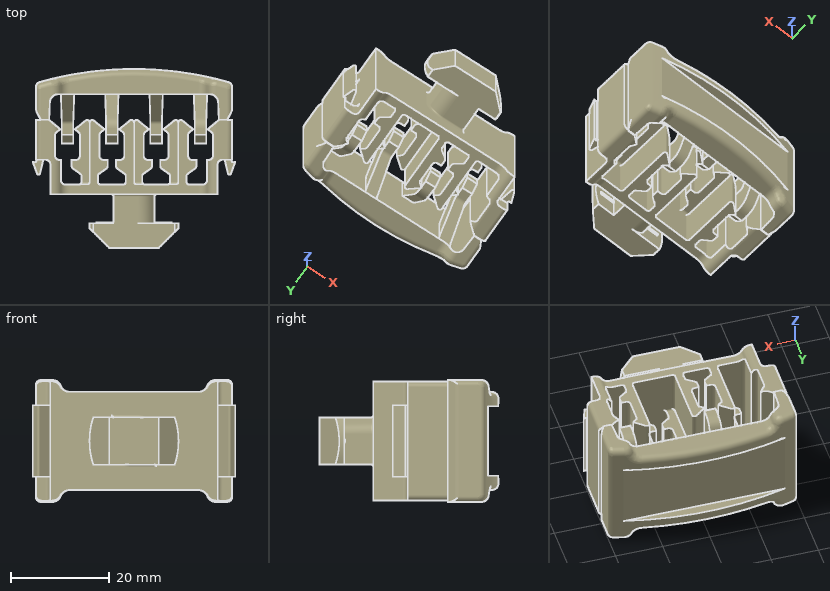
import cadquery as cq
import math

CENTER_HALF_HEIGHT = 10.0
JOINT_Y = 15.1
HALF_WIDTH = 19.95
EAR_FLAT_X = 16.65
EAR_FOOT_X = 13.1
PICK_MARGIN = 0.05
CELL_PITCH = 9.0
CELL_COUNT = 4

HOUSING_EAR_HALF_HEIGHT = 12.1
WALL_THICKNESS = 2.0
WALL_HALF_WIDTH = 17.0
SHOULDER_Y = 7.0
SHOULDER_FILLET = 1.0
ARM_EDGE_FILLET = 1.1
ARM_TOP_INNER_X = 17.2
ARM_NECK_X = 14.8
CHAMBER_HALF_WIDTH = 2.5
CHAMBER_TOP_Y = 12.4
LIP_HALF_GAP = 1.45
LIP_Y = 13.2
CELL_CORNER_FILLET = 0.8
FINGER_TOP_OFFSET = 3.8
FINGER_TIP_FILLET = 0.5
NUB_HALF_GAP = 0.8
NUB_LOW_Y = 5.4
POCKET_HALF_WIDTH = 2.8
POCKET_TOP_Y = 4.0
FINGER_OVERLAP = 0.25
FINGER_ROOT_FILLET = 0.5

LATCH_HALF_HEIGHT = 7.3
LATCH_BARB = (20.6, 6.6)
LATCH_NOTCH = (20.0, 6.5)
LATCH_OUTER_ROOT_X = 19.7
LATCH_INNER_ROOT_X = 18.4
LATCH_TIP_Y = 4.0
LATCH_TIP_OUTER_X = 19.65
LATCH_TIP_INNER_X = 19.1
LATCH_TIP_FILLET = 0.27

FOOT_HALF_HEIGHT = 4.8
NECK_HALF_WIDTH = 4.17
NECK_CORNER_RADIUS = 3.3
NECK_ROOT_FILLET = 0.45
FOOT_TOP_Y = -5.85
FOOT_SHOULDER_Y = -6.9
FOOT_END_Y = -10.93
FOOT_HALF_LENGTH = 9.05
FOOT_END_HALF_LENGTH = 5.0
FOOT_END_RADIUS = 15.2
RIDGE_RADIUS = 0.4
RIDGE_HEIGHT = 0.2
RIDGE_OUTER_X = 7.7

COVER_EAR_HALF_HEIGHT = 12.41
COVER_TOP_Y = 25.48
COVER_OUTER_RADIUS = 70.0
COVER_RIM_FILLET = 1.45
COVER_END_FILLET = 1.1
COVER_INNER_Y = 20.3
COVER_INNER_X = 17.0
COVER_INNER_FILLET = 1.7
COVER_TAPER_Y = 17.0
COVER_TAPER_X = 18.95
COVER_TAPER_FILLET = 1.9
RECESS_FLOOR_Y = 23.37
RECESS_HALF_HEIGHT = 7.04

PRONG_ROOT_WIDTH = 2.75
PRONG_TIP_WIDTH = 2.4
PRONG_NARROW_Y = 14.8
PRONG_SLOPE = math.atan(2.0)
PRONG_HEEL_RADIUS = 3.5
PRONG_CREST_RADIUS = 3.1
PRONG_INNER_RADIUS = 1.0
PRONG_ROOT_TOP_Z = -1.6
PRONG_CREST_Y = 13.5
PRONG_INNER_END_Y = 14.2
PRONG_WEDGE_Y = 12.1
PRONG_TIP_Y = 10.3
PRONG_WEDGE_DROP = 1.9

CELL_CENTERS = [(i - (CELL_COUNT - 1) / 2) * CELL_PITCH for i in range(CELL_COUNT)]


def mirror_path(points):
    """Closed outline from a right-hand path and its mirror image in X."""
    return points + [(-x, y) for x, y in reversed(points)]


def round_z_edges(body, points, radius):
    """Fillet the edges along Z that stand at the given (x, y) points."""
    for x, y in points:
        corner = cq.selectors.BoxSelector(
            (x - PICK_MARGIN, y - PICK_MARGIN, -COVER_EAR_HALF_HEIGHT),
            (x + PICK_MARGIN, y + PICK_MARGIN, COVER_EAR_HALF_HEIGHT),
        )
        body = body.edges("|Z").edges(corner).fillet(radius)
    return body


def ear_envelope(ear_half_height, y_start, y_end):
    """Block whose XZ outline rises in S-curves from the center part to an ear at each end."""
    rise = ear_half_height - CENTER_HALF_HEIGHT
    run = EAR_FLAT_X - EAR_FOOT_X
    radius = (run ** 2 + rise ** 2) / (4 * rise)
    half_turn = math.atan(rise / run)
    dx = radius * math.sin(half_turn)
    dz = radius * (1 - math.cos(half_turn))
    mid_x = (EAR_FLAT_X + EAR_FOOT_X) / 2
    mid_z = (ear_half_height + CENTER_HALF_HEIGHT) / 2

    quarter = (
        cq.Workplane("XZ", origin=(0, y_end, 0))
        .moveTo(0, 0)
        .lineTo(0, CENTER_HALF_HEIGHT)
        .lineTo(EAR_FOOT_X, CENTER_HALF_HEIGHT)
        .threePointArc((EAR_FOOT_X + dx, CENTER_HALF_HEIGHT + dz), (mid_x, mid_z))
        .threePointArc((EAR_FLAT_X - dx, ear_half_height - dz), (EAR_FLAT_X, ear_half_height))
        .lineTo(HALF_WIDTH, ear_half_height)
        .lineTo(HALF_WIDTH, 0)
        .close()
        .extrude(y_end - y_start)
    )
    half = quarter.union(quarter.mirror("YZ"))
    return half.union(half.mirror("XY")).clean()


def frame():
    """Base wall with an arm at each end."""
    outer_cell = CELL_CENTERS[-1]
    chamber_x = outer_cell + CHAMBER_HALF_WIDTH
    lip_x = outer_cell + LIP_HALF_GAP
    path = [
        (WALL_HALF_WIDTH, 0),
        (WALL_HALF_WIDTH, SHOULDER_Y),
        (HALF_WIDTH, SHOULDER_Y),
        (HALF_WIDTH, JOINT_Y),
        (ARM_TOP_INNER_X, JOINT_Y),
        (lip_x, LIP_Y),
        (chamber_x, CHAMBER_TOP_Y),
        (chamber_x, SHOULDER_Y),
        (ARM_NECK_X, SHOULDER_Y),
        (ARM_NECK_X, WALL_THICKNESS),
    ]
    body = (
        cq.Workplane("XY", origin=(0, 0, -HOUSING_EAR_HALF_HEIGHT))
        .polyline(mirror_path(path))
        .close()
        .extrude(2 * HOUSING_EAR_HALF_HEIGHT)
    )
    for side in (-1, 1):
        shoulder = [(side * WALL_HALF_WIDTH, SHOULDER_Y)]
        inner_corners = [
            (side * chamber_x, CHAMBER_TOP_Y),
            (side * chamber_x, SHOULDER_Y),
            (side * ARM_NECK_X, WALL_THICKNESS),
        ]
        body = round_z_edges(body, shoulder, SHOULDER_FILLET)
        body = round_z_edges(body, inner_corners, CELL_CORNER_FILLET)
    body = body.intersect(ear_envelope(HOUSING_EAR_HALF_HEIGHT, 0, JOINT_Y))
    return body.faces("<X or >X").edges("|Y").fillet(ARM_EDGE_FILLET)


def finger():
    """Finger on the right of a cell centered on X = 0, standing in the upper half."""
    outline = [
        (CELL_PITCH / 2, WALL_THICKNESS / 2),
        (CELL_PITCH / 2, JOINT_Y),
        (FINGER_TOP_OFFSET, JOINT_Y),
        (LIP_HALF_GAP, LIP_Y),
        (CHAMBER_HALF_WIDTH, CHAMBER_TOP_Y),
        (CHAMBER_HALF_WIDTH, SHOULDER_Y),
        (NUB_HALF_GAP, SHOULDER_Y),
        (NUB_HALF_GAP, NUB_LOW_Y),
        (POCKET_HALF_WIDTH, POCKET_TOP_Y),
        (POCKET_HALF_WIDTH, WALL_THICKNESS / 2),
    ]
    body = (
        cq.Workplane("XY", origin=(0, 0, -FINGER_OVERLAP))
        .polyline(outline)
        .close()
        .extrude(CENTER_HALF_HEIGHT + FINGER_OVERLAP)
    )
    cell_corners = [
        (CHAMBER_HALF_WIDTH, CHAMBER_TOP_Y),
        (CHAMBER_HALF_WIDTH, SHOULDER_Y),
        (NUB_HALF_GAP, NUB_LOW_Y),
    ]
    tip_corners = [
        (CELL_PITCH / 2, JOINT_Y),
        (FINGER_TOP_OFFSET, JOINT_Y),
        (POCKET_HALF_WIDTH, POCKET_TOP_Y),
    ]
    body = round_z_edges(body, cell_corners, CELL_CORNER_FILLET)
    return round_z_edges(body, tip_corners, FINGER_TIP_FILLET)


def add_fingers(body):
    """Finger pairs, in the lower half of odd cells and the upper half of even ones."""
    right = finger()
    left = right.mirror("YZ")
    for index, center in enumerate(CELL_CENTERS):
        in_upper_half = index % 2 == 1
        sides = []
        if index > 0:
            sides.append(left)
        if index < CELL_COUNT - 1:
            sides.append(right)
        for side in sides:
            placed = side if in_upper_half else side.mirror("XY")
            body = body.union(placed.translate((center, 0, 0)))
    return body


def round_finger_roots(body):
    """Fillet where the fingers meet the inner face of the base wall."""
    limit_x = ARM_NECK_X - CELL_CORNER_FILLET - PICK_MARGIN
    limit_z = CENTER_HALF_HEIGHT - PICK_MARGIN
    root = cq.selectors.BoxSelector(
        (-limit_x, WALL_THICKNESS - PICK_MARGIN, -limit_z),
        (limit_x, WALL_THICKNESS + PICK_MARGIN, limit_z),
    )
    return body.edges(root).fillet(FINGER_ROOT_FILLET)


def add_latch(body, side):
    """Barbed latch under an arm, with the gap behind it cut up into the arm."""
    lean = (LATCH_TIP_INNER_X - LATCH_INNER_ROOT_X) / (SHOULDER_Y - LATCH_TIP_Y)
    gap_top_y = SHOULDER_Y + (LATCH_INNER_ROOT_X - WALL_HALF_WIDTH) / lean
    start = cq.Workplane("XY", origin=(0, 0, -LATCH_HALF_HEIGHT))
    gap = (
        start.polyline([
            (side * WALL_HALF_WIDTH, SHOULDER_Y - SHOULDER_FILLET),
            (side * WALL_HALF_WIDTH, gap_top_y),
            (side * LATCH_INNER_ROOT_X, SHOULDER_Y),
            (side * LATCH_INNER_ROOT_X, SHOULDER_Y - SHOULDER_FILLET),
        ])
        .close()
        .extrude(2 * LATCH_HALF_HEIGHT)
    )
    outline = [
        LATCH_BARB,
        LATCH_NOTCH,
        (LATCH_OUTER_ROOT_X, SHOULDER_Y),
        (LATCH_INNER_ROOT_X, SHOULDER_Y),
        (LATCH_TIP_INNER_X, LATCH_TIP_Y),
        (LATCH_TIP_OUTER_X, LATCH_TIP_Y),
    ]
    latch = (
        start.polyline([(side * x, y) for x, y in outline])
        .close()
        .extrude(2 * LATCH_HALF_HEIGHT)
    )
    tip = [(side * LATCH_TIP_INNER_X, LATCH_TIP_Y), (side * LATCH_TIP_OUTER_X, LATCH_TIP_Y)]
    latch = round_z_edges(latch, tip, LATCH_TIP_FILLET)
    return body.cut(gap).union(latch)


def neck():
    """Neck of the foot, rounded at two opposite corners."""
    block = cq.Workplane("XY").box(2 * NECK_HALF_WIDTH, -FOOT_TOP_Y, 2 * FOOT_HALF_HEIGHT)
    block = block.translate((0, FOOT_TOP_Y / 2, 0))
    for side in (-1, 1):
        corner = (side * NECK_HALF_WIDTH, FOOT_TOP_Y / 2, side * FOOT_HALF_HEIGHT)
        corner_edge = cq.selectors.NearestToPointSelector(corner)
        block = block.edges(corner_edge).fillet(NECK_CORNER_RADIUS)
    return block


def foot_plate():
    """Tapered crosspiece of the foot with arched ends and a detent ridge on each wing."""
    path = [
        (FOOT_HALF_LENGTH, FOOT_TOP_Y),
        (FOOT_HALF_LENGTH, FOOT_SHOULDER_Y),
        (FOOT_END_HALF_LENGTH, FOOT_END_Y),
    ]
    plate = (
        cq.Workplane("XY", origin=(0, 0, -FOOT_HALF_HEIGHT))
        .polyline(mirror_path(path))
        .close()
        .extrude(2 * FOOT_HALF_HEIGHT)
    )
    arch_center = FOOT_HALF_LENGTH - FOOT_END_RADIUS
    for side in (-1, 1):
        arch = (
            cq.Workplane("XZ")
            .center(side * arch_center, 0)
            .circle(FOOT_END_RADIUS)
            .extrude(-FOOT_END_Y)
        )
        plate = plate.intersect(arch)
    ridges = (
        cq.Workplane("YZ", origin=(-RIDGE_OUTER_X, 0, 0))
        .center(FOOT_TOP_Y + RIDGE_HEIGHT - RIDGE_RADIUS, 0)
        .circle(RIDGE_RADIUS)
        .extrude(2 * RIDGE_OUTER_X)
    )
    return plate.union(ridges)


def add_foot(body):
    """Neck and crosspiece, with a fillet where the neck leaves the base wall."""
    body = body.union(neck())
    reach = FOOT_HALF_HEIGHT + PICK_MARGIN
    root = cq.selectors.BoxSelector((-reach, -PICK_MARGIN, -reach), (reach, PICK_MARGIN, reach))
    body = body.edges(root).fillet(NECK_ROOT_FILLET)
    return body.union(foot_plate())


def make_housing():
    body = add_fingers(frame())
    body = round_finger_roots(body)
    for side in (-1, 1):
        body = add_latch(body, side)
    return add_foot(body)


def cover_shell():
    """Curved cover wall with two arms, eared like the housing."""
    edge_drop = COVER_OUTER_RADIUS - math.sqrt(COVER_OUTER_RADIUS ** 2 - HALF_WIDTH ** 2)
    corner_y = COVER_TOP_Y - edge_drop
    path = [
        (HALF_WIDTH, corner_y),
        (HALF_WIDTH, JOINT_Y),
        (ARM_TOP_INNER_X, JOINT_Y),
        (COVER_INNER_X, COVER_INNER_Y),
    ]
    body = (
        cq.Workplane("XY", origin=(0, 0, -COVER_EAR_HALF_HEIGHT))
        .polyline(mirror_path(path))
        .threePointArc((0, COVER_TOP_Y), path[0])
        .close()
        .extrude(2 * COVER_EAR_HALF_HEIGHT)
    )
    for side in (-1, 1):
        body = round_z_edges(body, [(side * COVER_INNER_X, COVER_INNER_Y)], COVER_INNER_FILLET)
    body = body.intersect(ear_envelope(COVER_EAR_HALF_HEIGHT, JOINT_Y, COVER_TOP_Y))
    body = round_cover_rim(body)
    body = round_cover_ends(body)
    return taper_arm_tips(body)


def round_cover_rim(body):
    """Fillet the upper and lower rims of the curved outer face."""
    return body.faces(">Y").edges("not |Z").fillet(COVER_RIM_FILLET)


def round_cover_ends(body):
    """Fillet the outer Y edges of the arms; the fillet runs on around the corners of the outer face."""
    return body.faces("<X or >X").edges("|Y").fillet(COVER_END_FILLET)


def taper_arm_tips(body):
    """Slope the outer faces of the arms inward towards the joint."""
    slope = math.atan((HALF_WIDTH - COVER_TAPER_X) / (COVER_TAPER_Y - JOINT_Y))
    tangent_y = COVER_TAPER_Y + COVER_TAPER_FILLET * math.tan(slope / 2)

    def arc_point(angle):
        x = HALF_WIDTH - COVER_TAPER_FILLET * (1 - math.cos(angle))
        return (x, tangent_y - COVER_TAPER_FILLET * math.sin(angle))

    right = (
        cq.Workplane("XY", origin=(0, 0, -COVER_EAR_HALF_HEIGHT))
        .moveTo(HALF_WIDTH, tangent_y)
        .threePointArc(arc_point(slope / 2), arc_point(slope))
        .lineTo(COVER_TAPER_X, JOINT_Y)
        .lineTo(HALF_WIDTH, JOINT_Y)
        .close()
        .extrude(2 * COVER_EAR_HALF_HEIGHT)
    )
    return body.cut(right).cut(right.mirror("YZ"))


def make_prong():
    """Prong centered on X = 0, rising from the lower edge of the cover wall."""
    run = math.sin(PRONG_SLOPE)
    turn = 1 - math.cos(PRONG_SLOPE)
    half_run = math.sin(PRONG_SLOPE / 2)
    half_turn = 1 - math.cos(PRONG_SLOPE / 2)
    heel_angle = math.pi / 2 - PRONG_SLOPE

    crest_start_y = PRONG_CREST_Y + PRONG_CREST_RADIUS * run
    crest_start_z = PRONG_ROOT_TOP_Z + (COVER_INNER_Y - crest_start_y) * math.tan(PRONG_SLOPE)
    crest_z = crest_start_z + PRONG_CREST_RADIUS * turn
    crest_mid = (PRONG_CREST_Y + PRONG_CREST_RADIUS * half_run, crest_z - PRONG_CREST_RADIUS * half_turn)

    heel_mid = (
        COVER_INNER_Y - PRONG_HEEL_RADIUS * (1 - math.cos(heel_angle / 2)),
        -CENTER_HALF_HEIGHT + PRONG_HEEL_RADIUS * math.sin(heel_angle / 2),
    )
    heel_end = (
        COVER_INNER_Y - PRONG_HEEL_RADIUS * (1 - math.cos(heel_angle)),
        -CENTER_HALF_HEIGHT + PRONG_HEEL_RADIUS * math.sin(heel_angle),
    )
    inner_start_y = PRONG_INNER_END_Y + PRONG_INNER_RADIUS * run
    inner_start_z = heel_end[1] + (heel_end[0] - inner_start_y) * math.tan(PRONG_SLOPE)
    inner_z = inner_start_z + PRONG_INNER_RADIUS * turn
    inner_mid = (
        PRONG_INNER_END_Y + PRONG_INNER_RADIUS * half_run,
        inner_z - PRONG_INNER_RADIUS * half_turn,
    )
    root_y = COVER_INNER_Y + COVER_INNER_FILLET

    profile = (
        cq.Workplane("YZ", origin=(-PRONG_ROOT_WIDTH / 2, 0, 0))
        .moveTo(root_y, PRONG_ROOT_TOP_Z)
        .lineTo(COVER_INNER_Y, PRONG_ROOT_TOP_Z)
        .lineTo(crest_start_y, crest_start_z)
        .threePointArc(crest_mid, (PRONG_CREST_Y, crest_z))
        .lineTo(PRONG_WEDGE_Y, crest_z)
        .lineTo(PRONG_TIP_Y, crest_z - PRONG_WEDGE_DROP)
        .lineTo(PRONG_TIP_Y, inner_z + PRONG_WEDGE_DROP)
        .lineTo(PRONG_WEDGE_Y, inner_z)
        .lineTo(PRONG_INNER_END_Y, inner_z)
        .threePointArc(inner_mid, (inner_start_y, inner_start_z))
        .lineTo(*heel_end)
        .threePointArc(heel_mid, (COVER_INNER_Y, -CENTER_HALF_HEIGHT))
        .lineTo(root_y, -CENTER_HALF_HEIGHT)
        .close()
        .extrude(PRONG_ROOT_WIDTH)
    )
    plan = (
        cq.Workplane("XY", origin=(0, 0, -CENTER_HALF_HEIGHT))
        .polyline(mirror_path([
            (PRONG_ROOT_WIDTH / 2, root_y),
            (PRONG_ROOT_WIDTH / 2, COVER_INNER_Y),
            (PRONG_TIP_WIDTH / 2, PRONG_NARROW_Y),
            (PRONG_TIP_WIDTH / 2, PRONG_TIP_Y),
        ]))
        .close()
        .extrude(2 * CENTER_HALF_HEIGHT)
    )
    return profile.intersect(plan)


def make_cover():
    recess_depth = COVER_TOP_Y - RECESS_FLOOR_Y
    recess = (
        cq.Workplane("XY")
        .box(2 * HALF_WIDTH, recess_depth, 2 * RECESS_HALF_HEIGHT)
        .translate((0, RECESS_FLOOR_Y + recess_depth / 2, 0))
    )
    body = cover_shell().cut(recess)
    rising = make_prong()
    falling = rising.mirror("XY")
    for index, center in enumerate(CELL_CENTERS):
        prong = rising if index % 2 == 1 else falling
        body = body.union(prong.translate((center, 0, 0)))
    return body


housing = make_housing()
cover = make_cover()
result = cq.Compound.makeCompound([housing.solids().val(), cover.solids().val()])